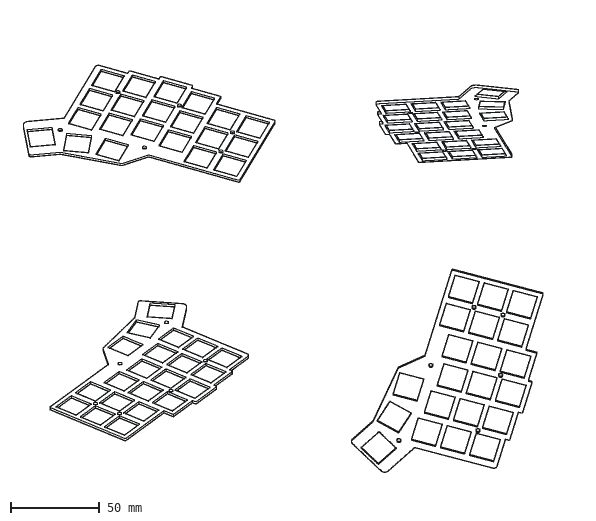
import cadquery as cq
import math

WIDTH = 129.99
DEPTH = 87.72
THICKNESS = 1.58

OPENING = 14.1
COLUMN_PITCH = 18.0
ROW_PITCH = 17.0
ROWS = 3
MARGIN = 2.7
COLUMN_DROPS = [4.75, 2.35, 0.0, 2.35, 8.95, 8.95]

EDGE_TO_KEY = OPENING / 2 + MARGIN
LAST_COLUMN_X = WIDTH - EDGE_TO_KEY
FIRST_COLUMN_X = LAST_COLUMN_X - (len(COLUMN_DROPS) - 1) * COLUMN_PITCH
HIGHEST_KEY_Y = DEPTH - EDGE_TO_KEY

OUTER_THUMB = (13.4, 15.85, 30.0)
MIDDLE_THUMB = (34.09, 19.08, 15.0)
INNER_THUMB = (54.11, 21.61, 0.0)

PAD_SIDE = 8.75
PAD_HALF_LENGTH = 13.85

LEFT_EDGE_X = 19.3
STEP_XS = (38.25, 56.25, 76.1, 94.0)
THUMB_EDGE_START_X = 28.08
THUMB_EDGE_SLOPE = 7.32
THUMB_EDGE_END_X = 63.68
DIAGONAL_TOP_X = 74.85

CORNER_RADIUS = 0.75
FIRST_COLUMN_RADIUS = 2.0
PAD_UPPER_RADIUS = 3.0
PAD_LOWER_RADIUS = 1.42
PAD_BEND_RADIUS = 3.0

HOLE_DIAMETER = 2.3
LEFT_GRID_HOLE = (39.16, 66.56)
OUTER_THUMB_HOLE = (20.98, 25.47)
INNER_THUMB_HOLE = (70.31, 30.05)


def column_x(column):
    return FIRST_COLUMN_X + column * COLUMN_PITCH


def key_y(column, row):
    """Key centre height; row 0 is the top row."""
    return HIGHEST_KEY_Y - COLUMN_DROPS[column] - row * ROW_PITCH


def between_keys(column, row):
    """Point midway between a key, the next column and the row below."""
    return (column_x(column) + COLUMN_PITCH / 2, key_y(column, row) - ROW_PITCH / 2)


def pad_point(along, across):
    """Point given in the rotated frame of the outer thumb key."""
    x, y, degrees = OUTER_THUMB
    angle = math.radians(degrees)
    return (
        x + along * math.cos(angle) - across * math.sin(angle),
        y + along * math.sin(angle) + across * math.cos(angle),
    )


def pad_edge_y(x, across):
    """Height, at a given x, of a pad edge that runs along the outer thumb key."""
    start_x, start_y = pad_point(0, across)
    return start_y + (x - start_x) * math.tan(math.radians(OUTER_THUMB[2]))


def make_plate():
    tops = [key_y(column, 0) + EDGE_TO_KEY for column in range(len(COLUMN_DROPS))]
    bottom = key_y(len(COLUMN_DROPS) - 1, ROWS - 1) - EDGE_TO_KEY
    pad_upper_corner = pad_point(-PAD_SIDE, PAD_HALF_LENGTH)
    pad_lower_corner = pad_point(-PAD_SIDE, -PAD_HALF_LENGTH)
    pad_bend = (THUMB_EDGE_START_X, pad_edge_y(THUMB_EDGE_START_X, -PAD_HALF_LENGTH))
    thumb_edge_run = THUMB_EDGE_END_X - THUMB_EDGE_START_X
    thumb_edge_rise = thumb_edge_run * math.tan(math.radians(THUMB_EDGE_SLOPE))
    diagonal_bottom = (THUMB_EDGE_END_X, pad_bend[1] + thumb_edge_rise)
    diagonal_top = (DIAGONAL_TOP_X, bottom)

    top_left_corners = [
        (LEFT_EDGE_X, tops[0]),
        (STEP_XS[0], tops[1]),
        (STEP_XS[1], tops[2]),
    ]
    middle_right_corner = (STEP_XS[2], tops[2])
    right_corners = [(WIDTH, tops[-1]), (WIDTH, bottom)]

    outline = [
        top_left_corners[0],
        (STEP_XS[0], tops[0]),
        top_left_corners[1],
        (STEP_XS[1], tops[1]),
        top_left_corners[2],
        middle_right_corner,
        (STEP_XS[2], tops[3]),
        (STEP_XS[3], tops[3]),
        (STEP_XS[3], tops[4]),
        *right_corners,
        diagonal_top,
        diagonal_bottom,
        pad_bend,
        pad_lower_corner,
        pad_upper_corner,
        (LEFT_EDGE_X, pad_edge_y(LEFT_EDGE_X, PAD_HALF_LENGTH)),
    ]
    plate = cq.Workplane("XY").polyline(outline).close().extrude(THICKNESS)

    rounded = [
        *top_left_corners[1:],
        middle_right_corner,
        *right_corners,
        diagonal_top,
        diagonal_bottom,
    ]
    plate = round_corners(plate, rounded, CORNER_RADIUS)
    plate = round_corners(plate, top_left_corners[:1], FIRST_COLUMN_RADIUS)
    plate = round_corners(plate, [pad_bend], PAD_BEND_RADIUS)
    plate = round_corners(plate, [pad_lower_corner], PAD_LOWER_RADIUS)
    return round_corners(plate, [pad_upper_corner], PAD_UPPER_RADIUS)


def round_corners(plate, corners, radius):
    for x, y in corners:
        nearest = cq.selectors.NearestToPointSelector((x, y, THICKNESS / 2))
        plate = plate.edges("|Z").edges(nearest).fillet(radius)
    return plate


def key_opening(x, y, degrees=0.0):
    opening = cq.Workplane("XY").rect(OPENING, OPENING).extrude(THICKNESS)
    return opening.rotate((0, 0, 0), (0, 0, 1), degrees).translate((x, y, 0))


def cut_key_openings(plate):
    for column in range(len(COLUMN_DROPS)):
        for row in range(ROWS):
            plate = plate.cut(key_opening(column_x(column), key_y(column, row)))
    for x, y, degrees in (OUTER_THUMB, MIDDLE_THUMB, INNER_THUMB):
        plate = plate.cut(key_opening(x, y, degrees))
    return plate


def cut_screw_holes(plate):
    centres = [
        LEFT_GRID_HOLE,
        between_keys(2, 0),
        between_keys(4, 0),
        between_keys(4, 1),
        OUTER_THUMB_HOLE,
        INNER_THUMB_HOLE,
    ]
    holes = cq.Workplane("XY").pushPoints(centres).circle(HOLE_DIAMETER / 2).extrude(THICKNESS)
    return plate.cut(holes)


result = cut_screw_holes(cut_key_openings(make_plate()))